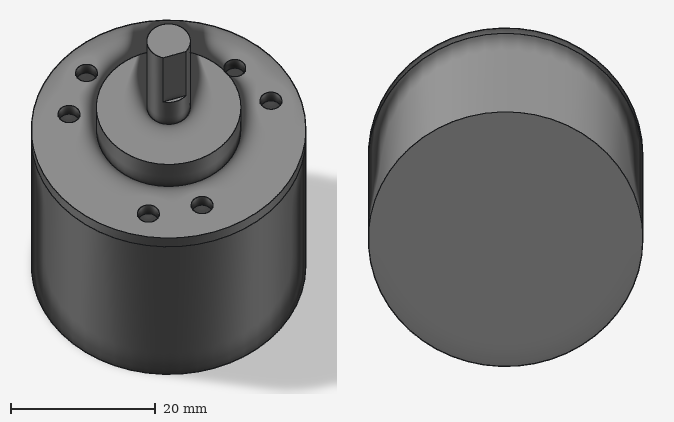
import cadquery as cq

total_height = 51.0
body_diameter = 38.0

flange_thickness = 2.0
boss_diameter = 20.0
boss_height = 5.0
shaft_diameter = 6.0
shaft_length = 15.0
flat_length = 10.0
flat_offset = 2.5

hole_diameter = 3.0
holes_per_ring = 3
inner_ring_radius = 14.0
inner_ring_start = 0
outer_ring_radius = 15.0
outer_ring_start = 90

flange_bottom = total_height - shaft_length - boss_height - flange_thickness
flange_top = flange_bottom + flange_thickness
boss_top = flange_top + boss_height


def cylinder(diameter, bottom, height):
    return cq.Workplane("XY").workplane(offset=bottom).circle(diameter / 2).extrude(height)


def hole_ring(ring_radius, start_angle):
    """Cutters for one ring of holes, as deep as the flange is thick."""
    return (
        cq.Workplane("XY")
        .workplane(offset=flange_bottom)
        .polarArray(ring_radius, start_angle, 360, holes_per_ring)
        .circle(hole_diameter / 2)
        .extrude(flange_thickness)
    )


def make_housing():
    return cylinder(body_diameter, 0, flange_bottom)


def make_shaft():
    """Round shaft with a flat on the +X side of its upper end."""
    shaft = cylinder(shaft_diameter, boss_top, shaft_length)
    flat_cutter = (
        cq.Workplane("XY")
        .box(shaft_diameter, shaft_diameter, flat_length, centered=(False, True, False))
        .translate((flat_offset, 0, total_height - flat_length))
    )
    return shaft.cut(flat_cutter)


def make_output_cover():
    """Flange, boss and shaft in one piece, closing the top of the housing."""
    flange = cylinder(body_diameter, flange_bottom, flange_thickness)
    flange = flange.cut(hole_ring(inner_ring_radius, inner_ring_start))
    flange = flange.cut(hole_ring(outer_ring_radius, outer_ring_start))
    boss = cylinder(boss_diameter, flange_top, boss_height)
    return flange.union(boss).union(make_shaft())


housing = make_housing()
output_cover = make_output_cover()

result = cq.Compound.makeCompound([housing.val(), output_cover.val()])